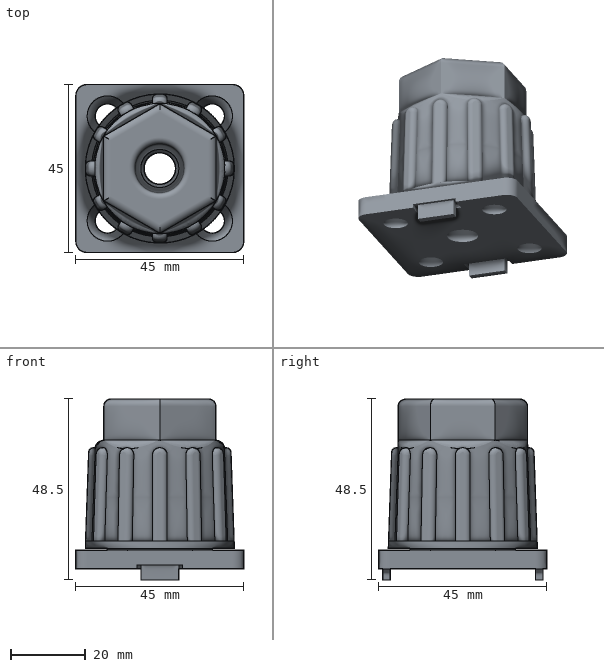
import cadquery as cq
import math

PLATE_SIDE = 45.0
PLATE_THICKNESS = 5.0
PLATE_CORNER_RADIUS = 3.0
SPIGOT_RADIUS = 14.15
SPIGOT_HEIGHT = 0.5
BASE_BORE_RADIUS = 4.15

MOUNT_HALF_SPACING = 14.0
MOUNT_HOLE_RADIUS = 3.25
COUNTERSINK_RADIUS = 5.45
COUNTERSINK_ANGLE = 90

TAB_WIDTH = 10.15
TAB_THICKNESS = 2.1
TAB_DROP = 3.0
TAB_CLEARANCE = 1.0
RELIEF_DEPTH = 1.0

DRAFT_ANGLE = 2
DRAFT_SLOPE = math.tan(math.radians(DRAFT_ANGLE))
KNOB_HEIGHT = 40.0
FLANGE_RADIUS = 20.0
FLANGE_HEIGHT = 2.0
HEX_SIDES = 6
HEX_ACROSS_FLATS = 30.0
HEX_HEIGHT = 11.0
HEX_TOP_FILLET = 2.0
HEX_APOTHEM = HEX_ACROSS_FLATS / 2
HEX_CORNER_RADIUS = HEX_APOTHEM / math.cos(math.pi / HEX_SIDES)
SKIRT_HEIGHT = KNOB_HEIGHT - HEX_HEIGHT

SHOULDER_INTERVALS = 4
SHOULDER_REACH = 0.98
SHOULDER_SWEEP = 80

RIB_COUNT = 12
RIB_WIDTH = 4.0
RIB_STRAIGHT_TOP = 25.0
RIB_EDGE_FILLET = 1.3
RIB_ROOT_RADIUS = 16.0

POCKET_FLOOR_RADIUS = 6.5
POCKET_DEPTH = 8.1
POCKET_FLOOR_FILLET = 0.5
POCKET_MOUTH_FILLET = 1.5
KNOB_BORE_RADIUS = 4.25
BORE_CHAMFER = 0.82

KNOB_BOTTOM = PLATE_THICKNESS + SPIGOT_HEIGHT


def drafted_radius(foot_radius, height):
    """Radius of a drafted surface at a height above its foot."""
    return foot_radius - height * DRAFT_SLOPE


def drafted_disc(foot_radius, height):
    """Solid of revolution that narrows upward with the draft angle."""
    outline = [
        (0, 0),
        (foot_radius, 0),
        (drafted_radius(foot_radius, height), height),
        (0, height),
    ]
    return cq.Workplane("XZ").polyline(outline).close().revolve(360, (0, 0), (0, 1))


def make_tab(side):
    """Tab near the edge on the given Y side (+1 or -1), up to its pocket roof."""
    tab_centre = PLATE_SIDE / 2 - TAB_CLEARANCE - TAB_THICKNESS / 2
    return (
        cq.Workplane("XY", origin=(0, side * tab_centre, -TAB_DROP))
        .rect(TAB_WIDTH, TAB_THICKNESS)
        .extrude(TAB_DROP + RELIEF_DEPTH)
    )


def make_relief(side):
    """Pocket that clears a tab all round and opens at the plate edge."""
    relief_length = TAB_THICKNESS + 2 * TAB_CLEARANCE
    relief_centre = PLATE_SIDE / 2 - relief_length / 2
    return (
        cq.Workplane("XY", origin=(0, side * relief_centre, 0))
        .rect(TAB_WIDTH + 2 * TAB_CLEARANCE, relief_length)
        .extrude(RELIEF_DEPTH)
    )


def make_base():
    """Plate with spigot, central bore, countersunk holes and locating tabs."""
    plate = (
        cq.Workplane("XY")
        .rect(PLATE_SIDE, PLATE_SIDE)
        .extrude(PLATE_THICKNESS)
        .edges("|Z")
        .fillet(PLATE_CORNER_RADIUS)
    )
    plate = (
        plate.faces(">Z")
        .workplane()
        .rect(2 * MOUNT_HALF_SPACING, 2 * MOUNT_HALF_SPACING, forConstruction=True)
        .vertices()
        .cskHole(2 * MOUNT_HOLE_RADIUS, 2 * COUNTERSINK_RADIUS, COUNTERSINK_ANGLE)
    )
    for side in (-1, 1):
        plate = plate.cut(make_relief(side)).union(make_tab(side))
    spigot = (
        cq.Workplane("XY", origin=(0, 0, PLATE_THICKNESS))
        .circle(SPIGOT_RADIUS)
        .extrude(SPIGOT_HEIGHT)
    )
    return plate.union(spigot).faces(">Z").workplane().hole(2 * BASE_BORE_RADIUS)


def shoulder_section(y):
    """Wire outside the shoulder round, in the XZ plane at distance y along a hex side.

    The round starts at the foot of the hex side and drops by the local ledge width.
    It is an arc about the chord that joins both ends at 45 degrees, and it then runs
    on along its end tangent to clear the skirt.
    """
    ledge = math.sqrt(HEX_CORNER_RADIUS**2 - y**2) - HEX_APOTHEM
    skirt_x = math.sqrt((HEX_CORNER_RADIUS + ledge * DRAFT_SLOPE) ** 2 - y**2)
    drop_end = (skirt_x, SKIRT_HEIGHT - ledge)
    half_sweep = math.radians(SHOULDER_SWEEP) / 2
    end_slope = math.pi / 4 + half_sweep
    bulge = ledge / 2 * math.tan(half_sweep / 2)
    arc_middle = (
        (HEX_APOTHEM + skirt_x) / 2 + bulge,
        SKIRT_HEIGHT - ledge / 2 + bulge,
    )
    runout = (
        skirt_x + ledge * math.cos(end_slope),
        SKIRT_HEIGHT - ledge - ledge * math.sin(end_slope),
    )
    outer_x = skirt_x + ledge
    section = (
        cq.Workplane("XZ", origin=(0, y, 0))
        .moveTo(HEX_APOTHEM, SKIRT_HEIGHT)
        .threePointArc(arc_middle, drop_end)
        .lineTo(*runout)
        .lineTo(outer_x, runout[1])
        .lineTo(outer_x, SKIRT_HEIGHT + ledge)
        .lineTo(HEX_APOTHEM, SKIRT_HEIGHT + ledge)
        .close()
    )
    return section.val()


def make_shoulder_cutter():
    """Material to remove beside one hex side; it fades out just short of both hex corners."""
    reach = SHOULDER_REACH * HEX_CORNER_RADIUS / 2
    step = 2 * reach / SHOULDER_INTERVALS
    sections = [shoulder_section(-reach + i * step) for i in range(SHOULDER_INTERVALS + 1)]
    return cq.Solid.makeLoft(sections)


def make_skirt():
    """Drafted skirt on its flange, rounded off at the foot of each hex side."""
    skirt_foot_radius = HEX_CORNER_RADIUS + SKIRT_HEIGHT * DRAFT_SLOPE
    skirt = drafted_disc(skirt_foot_radius, SKIRT_HEIGHT)
    cutter = make_shoulder_cutter()
    for i in range(HEX_SIDES):
        skirt = skirt.cut(cq.Workplane(cutter.rotate((0, 0, 0), (0, 0, 1), i * 360 / HEX_SIDES)))
    return skirt.union(drafted_disc(FLANGE_RADIUS, FLANGE_HEIGHT))


def make_hex_head():
    """Hexagonal head with flats facing +X and -X and a rounded top rim."""
    return (
        cq.Workplane("XY", origin=(0, 0, SKIRT_HEIGHT))
        .transformed(rotate=(0, 0, 90))
        .polygon(HEX_SIDES, 2 * HEX_CORNER_RADIUS)
        .extrude(HEX_HEIGHT)
        .faces(">Z")
        .edges()
        .fillet(HEX_TOP_FILLET)
    )


def make_rib():
    """Round-ended rib on the +X side; its outer face follows the flange draft."""
    half_width = RIB_WIDTH / 2
    rib_top = RIB_STRAIGHT_TOP + half_width
    front = (
        cq.Workplane("YZ")
        .moveTo(-half_width, FLANGE_HEIGHT)
        .lineTo(half_width, FLANGE_HEIGHT)
        .lineTo(half_width, RIB_STRAIGHT_TOP)
        .threePointArc((0, rib_top), (-half_width, RIB_STRAIGHT_TOP))
        .close()
        .extrude(FLANGE_RADIUS)
    )
    side_outline = [
        (RIB_ROOT_RADIUS, 0),
        (FLANGE_RADIUS, 0),
        (drafted_radius(FLANGE_RADIUS, rib_top), rib_top),
        (RIB_ROOT_RADIUS, rib_top),
    ]
    side = cq.Workplane("XZ").polyline(side_outline).close().extrude(half_width, both=True)
    rib = front.intersect(side)
    return rib.faces(">X").edges("not(<Z)").fillet(RIB_EDGE_FILLET)


def make_bore():
    """Drafted pocket with rounded mouth and floor, over a chamfered through hole."""
    floor_z = KNOB_HEIGHT - POCKET_DEPTH
    mouth_radius = POCKET_FLOOR_RADIUS + POCKET_DEPTH * DRAFT_SLOPE
    pocket_outline = [
        (0, floor_z),
        (POCKET_FLOOR_RADIUS, floor_z),
        (mouth_radius, KNOB_HEIGHT),
        (0, KNOB_HEIGHT),
    ]
    pocket = (
        cq.Workplane("XZ")
        .polyline(pocket_outline)
        .close()
        .revolve(360, (0, 0), (0, 1))
        .faces("<Z")
        .edges()
        .fillet(POCKET_FLOOR_FILLET)
    )
    hole_outline = [
        (0, 0),
        (KNOB_BORE_RADIUS, 0),
        (KNOB_BORE_RADIUS, floor_z - BORE_CHAMFER),
        (KNOB_BORE_RADIUS + BORE_CHAMFER, floor_z),
        (0, floor_z),
    ]
    hole = cq.Workplane("XZ").polyline(hole_outline).close().revolve(360, (0, 0), (0, 1))
    return pocket.union(hole)


def make_knob():
    """Knob resting on the spigot of the base."""
    knob = make_skirt().union(make_hex_head())
    rib = make_rib()
    for i in range(RIB_COUNT):
        knob = knob.union(rib.rotate((0, 0, 0), (0, 0, 1), i * 360 / RIB_COUNT))
    knob = knob.cut(make_bore())
    knob = knob.faces(">Z").edges("%CIRCLE").fillet(POCKET_MOUTH_FILLET)
    return knob.translate((0, 0, KNOB_BOTTOM))


base = make_base()
knob = make_knob()

result = cq.Compound.makeCompound([base.val(), knob.val()])